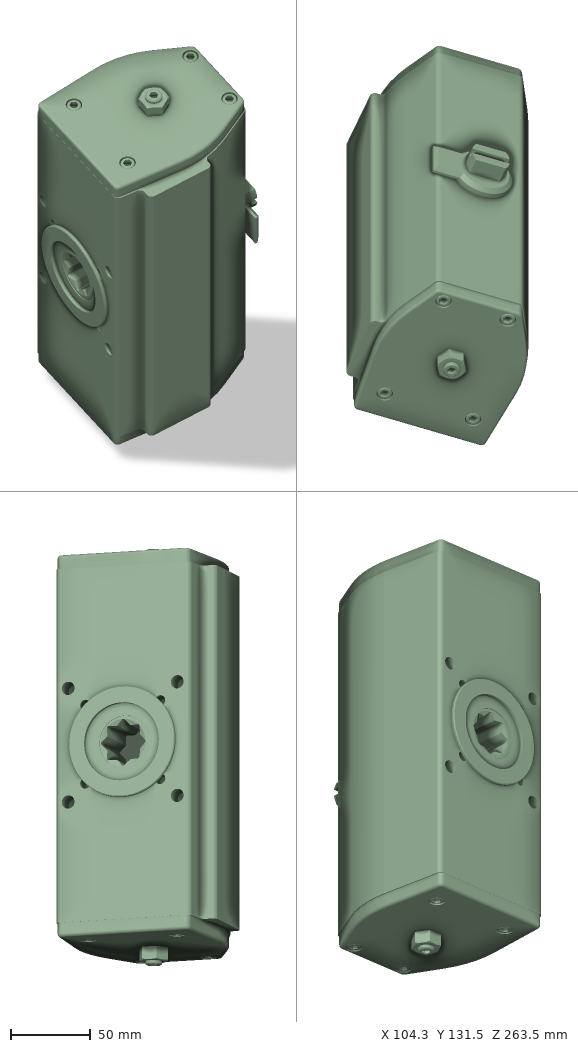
import cadquery as cq
import math


total_length = 263.5
cap_end_z = 121.3
housing_end_z = 112.3
front_y = -59.0
back_y = 51.0
half_width = 48.8
cap_inset = 0.8
cap_front_inset = 0.13
side_arc_radius = 71.2
side_arc_center_y = -6.3
back_taper = math.radians(27.0)
front_taper = math.radians(4.9)
front_corner_radius = 3.2
back_corner_radius = 4.0
cap_edge_radius = 1.8

pad_face_x = 55.5
pad_back_y = 6.0
pad_front_y = -41.0
pad_corner_radius = 3.2
pad_root_radius = 3.7

nut_flats = 16.5
nut_top_z = 129.5
nut_chamfer = 1.3
stud_diameter = 10.5
stud_chamfer = 0.8
socket_flats = 5.0
socket_depth = 4.0

cap_screw_places = [(-21.48, 42.7), (21.48, 42.7), (-29.5, -40.3), (29.5, -40.3)]
counterbore_diameter = 10.3
counterbore_depth = 4.0
screw_head_diameter = 9.2
screw_head_sink = 0.3
screw_head_round = 1.0

flange_face_y = -61.5
flange_radius = 35.0
flange_chamfer = 0.5
recess_radius = 24.8
recess_depth = 2.6
relief_radius = 16.75
relief_offset_x = 1.3
relief_depth = 0.5
star_half_flats = 10.8
star_tip_radius = 14.8
star_depth = 37.0
lead_in_depth = 1.5

large_hole_spacing = 72.2
large_hole_diameter = 8.5
large_hole_depth = 13.2
small_hole_spacing = 49.5
small_hole_diameter = 6.9
small_hole_depth = 10.5
drill_point_angle = 118.0

shaft_end_y = 70.0
shaft_radius = 12.7
shaft_flats = 15.8
slot_width = 4.2
slot_depth = 4.2
neck_radius = 13.5
disc_radius = 19.37
disc_near_y = 51.7
disc_far_y = 58.5
disc_chamfer = 2.6
pointer_tip_x = 33.2
pointer_width = 23.7
pointer_near_y = 54.3


def profile(inset, front_inset):
    """Closed housing section: tapered sides joined by one large arc on each flank."""
    arc_center_x = half_width - inset - side_arc_radius
    back = back_y - inset
    front = front_y + front_inset

    def on_arc(angle):
        return (
            arc_center_x + side_arc_radius * math.cos(angle),
            side_arc_center_y + side_arc_radius * math.sin(angle),
        )

    arc_back = on_arc(back_taper)
    arc_middle = on_arc(0)
    arc_front = on_arc(-front_taper)
    back_x = arc_back[0] - (back - arc_back[1]) * math.tan(back_taper)
    front_x = arc_front[0] - (arc_front[1] - front) * math.tan(front_taper)

    def mirrored(point):
        return (-point[0], point[1])

    return (
        cq.Workplane("XY")
        .moveTo(front_x, front)
        .lineTo(*arc_front)
        .threePointArc(arc_middle, arc_back)
        .lineTo(back_x, back)
        .lineTo(-back_x, back)
        .lineTo(*mirrored(arc_back))
        .threePointArc(mirrored(arc_middle), mirrored(arc_front))
        .lineTo(-front_x, front)
        .close()
    )


def prism(inset, front_inset, half_length):
    """Housing section extruded both ways from the middle, long edges rounded."""
    solid = profile(inset, front_inset).extrude(half_length, both=True)
    for y, radius in ((front_y + front_inset, front_corner_radius), (back_y - inset, back_corner_radius)):
        selector = cq.selectors.BoxSelector(
            (-half_width, y - 0.3, -half_length), (half_width, y + 0.3, half_length)
        )
        solid = solid.edges("|Z").edges(selector).fillet(radius)
    return solid


def along_y(radius, start_y, end_y, x=0.0):
    """Cylinder parallel to Y between two Y positions."""
    return cq.Workplane("XZ", origin=(0, start_y, 0)).center(x, 0).circle(radius).extrude(start_y - end_y)


def make_pad():
    pad = (
        cq.Workplane("XY")
        .moveTo(0, pad_front_y)
        .lineTo(pad_face_x, pad_front_y)
        .lineTo(pad_face_x, pad_back_y)
        .lineTo(0, pad_back_y)
        .close()
        .extrude(housing_end_z, both=True)
    )
    return pad.edges("|Z and >X").fillet(pad_corner_radius)


def make_end_hardware():
    """Nut and stud on the +Z end, with a hexagon socket in the stud."""
    corner_diameter = nut_flats / math.cos(math.pi / 6)
    nut_height = nut_top_z - cap_end_z
    nut = cq.Workplane("XY", origin=(0, 0, cap_end_z)).polygon(6, corner_diameter).extrude(nut_height)
    nut_envelope = (
        cq.Workplane("XY", origin=(0, 0, cap_end_z))
        .circle(corner_diameter / 2)
        .extrude(nut_height)
        .faces(">Z")
        .chamfer(nut_chamfer / 2, nut_chamfer)
    )
    stud = (
        cq.Workplane("XY", origin=(0, 0, cap_end_z))
        .circle(stud_diameter / 2)
        .extrude(total_length / 2 - cap_end_z)
        .faces(">Z")
        .chamfer(stud_chamfer)
    )
    socket = hex_socket(total_length / 2)
    return nut.intersect(nut_envelope).union(stud).cut(socket)


def hex_socket(top_z):
    corner_diameter = socket_flats / math.cos(math.pi / 6)
    return cq.Workplane("XY", origin=(0, 0, top_z)).polygon(6, corner_diameter).extrude(-socket_depth)


def make_screw_ring():
    """Gap around one sunk cap screw head, with its hexagon socket."""
    head_top_z = cap_end_z - screw_head_sink
    floor_z = cap_end_z - counterbore_depth
    bore = (
        cq.Workplane("XY", origin=(0, 0, floor_z))
        .circle(counterbore_diameter / 2)
        .extrude(counterbore_depth)
    )
    head = (
        cq.Workplane("XY", origin=(0, 0, floor_z))
        .circle(screw_head_diameter / 2)
        .extrude(head_top_z - floor_z)
        .faces(">Z")
        .edges()
        .fillet(screw_head_round)
    )
    return bore.cut(head).union(hex_socket(head_top_z))


def drilled_holes(spacing, diameter, depth):
    """Square pattern of four blind holes with drill points in the front face."""
    radius = diameter / 2
    point_length = radius / math.tan(math.radians(drill_point_angle / 2))
    half = spacing / 2
    hole = (
        cq.Workplane("XY")
        .moveTo(0, front_y)
        .lineTo(radius, front_y)
        .lineTo(radius, front_y + depth)
        .lineTo(0, front_y + depth + point_length)
        .close()
        .revolve(360, (0, 0, 0), (0, 1, 0))
    )
    holes = cq.Workplane("XY")
    for x in (-half, half):
        for z in (-half, half):
            holes = holes.add(hole.translate((x, 0, z)))
    return holes.combine()


def make_drive_socket():
    """Eight-pointed star socket with a conical lead-in, inside a stepped recess."""
    floor_y = flange_face_y + recess_depth
    recess = along_y(recess_radius, flange_face_y, floor_y)
    relief = along_y(relief_radius, floor_y, floor_y + relief_depth, relief_offset_x)
    side = 2 * star_half_flats
    square = cq.Workplane("XZ", origin=(0, floor_y, 0)).rect(side, side).extrude(-star_depth)
    star = square.union(square.rotate((0, 0, 0), (0, 1, 0), 45))
    star = star.intersect(along_y(star_tip_radius, floor_y, floor_y + star_depth))
    cone_start_y = floor_y + relief_depth
    lead_in = (
        cq.Workplane("XY")
        .moveTo(0, cone_start_y)
        .lineTo(star_tip_radius, cone_start_y)
        .lineTo(star_half_flats, cone_start_y + lead_in_depth)
        .lineTo(0, cone_start_y + lead_in_depth)
        .close()
        .revolve(360, (0, 0, 0), (0, 1, 0))
    )
    return recess.union(relief).union(star).union(lead_in)


def make_shaft_end():
    """Slotted shaft end with two flats, standing on its neck."""
    shaft = along_y(shaft_radius, disc_near_y, shaft_end_y)
    flats = cq.Workplane("XY").box(2 * shaft_radius, 2 * shaft_end_y, shaft_flats)
    slot = cq.Workplane("XY", origin=(0, shaft_end_y, 0)).box(2 * shaft_radius, 2 * slot_depth, slot_width)
    neck = along_y(neck_radius, 0, disc_near_y)
    return shaft.intersect(flats).cut(slot).union(neck)


def make_indicator():
    """Chamfered disc with a pointer towards +X."""
    disc = along_y(disc_radius, disc_near_y, disc_far_y).faces(">Y").chamfer(disc_chamfer)
    pointer = (
        cq.Workplane("XY")
        .box(pointer_tip_x, disc_far_y - pointer_near_y, pointer_width, centered=(False, False, True))
        .translate((0, pointer_near_y, 0))
    )
    pointer = pointer.faces(">Y").edges("not <X").chamfer(disc_chamfer)
    return disc.union(pointer)


housing = prism(0, 0, housing_end_z).union(make_pad())
pad_root = cq.selectors.BoxSelector(
    (half_width - 6.5, pad_front_y - 0.3, -2.6), (half_width + 0.3, pad_back_y + 0.3, 2.6)
)
housing = housing.edges("|Z").edges(pad_root).fillet(pad_root_radius)

cap_core = prism(cap_inset, cap_front_inset, cap_end_z).faces(">Z").edges().fillet(cap_edge_radius)
end_cap = cap_core.intersect(
    cq.Workplane("XY", origin=(0, 0, housing_end_z)).rect(total_length, total_length).extrude(total_length)
)

flange = along_y(flange_radius, front_y, flange_face_y).faces("<Y").chamfer(flange_chamfer)

body = housing.union(end_cap).union(end_cap.mirror("XY"))
body = body.cut(drilled_holes(large_hole_spacing, large_hole_diameter, large_hole_depth))
body = body.cut(drilled_holes(small_hole_spacing, small_hole_diameter, small_hole_depth))
body = body.union(flange).cut(make_drive_socket())
body = body.union(make_shaft_end()).union(make_indicator())

end_hardware = make_end_hardware()
body = body.union(end_hardware).union(end_hardware.mirror("XY"))

screw_ring = make_screw_ring()
for x, y in cap_screw_places:
    placed_ring = screw_ring.translate((x, y, 0))
    body = body.cut(placed_ring).cut(placed_ring.mirror("XY"))

result = body